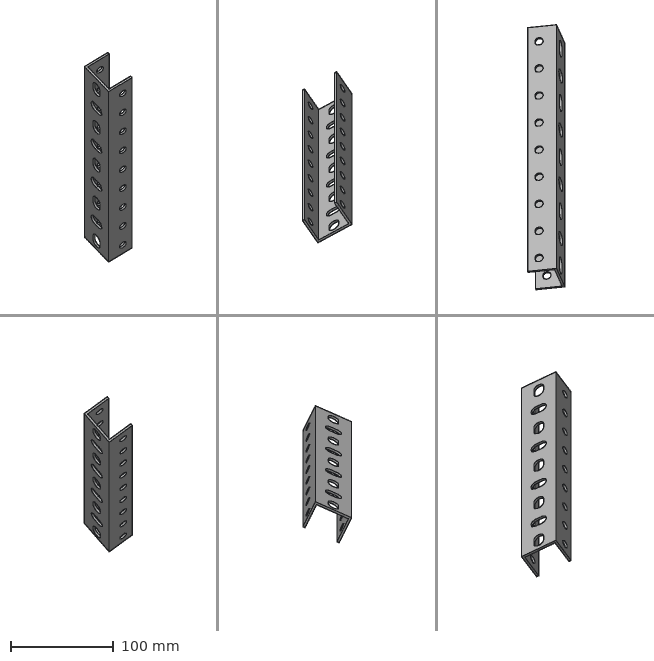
import cadquery as cq

length = 270.0
width = 39.2
depth = 29.0
thickness = 2.5

hole_count = 9
hole_pitch = length / hole_count
end_to_first_hole = 16.5
slot_length = 17.0
slot_width = 11.0
flange_hole_diameter = 8.0
flange_hole_y = 17.5

row_heights = [length - end_to_first_hole - row * hole_pitch for row in range(hole_count)]


def make_channel():
    """U section with its web on the XZ plane and square corners."""
    body = cq.Workplane("XY").box(width, depth, length, centered=(True, False, False))
    cavity = (
        cq.Workplane("XY", origin=(0, thickness, 0))
        .box(width - 2 * thickness, depth - thickness, length, centered=(True, False, False))
    )
    return body.cut(cavity)


def web_slot(height, angle):
    """Cutter for one slot through the web; angle is measured from the X axis."""
    return (
        cq.Workplane("XZ", origin=(0, 0, height))
        .slot2D(slot_length, slot_width, angle)
        .extrude(-thickness)
    )


def flange_holes():
    """One row of round holes passing through both flanges."""
    return (
        cq.Workplane("YZ")
        .pushPoints([(flange_hole_y, height) for height in row_heights])
        .circle(flange_hole_diameter / 2)
        .extrude(width, both=True)
    )


result = make_channel().cut(flange_holes())

for row, row_height in enumerate(row_heights):
    slot_angle = 90 if row % 2 == 0 else 0
    result = result.cut(web_slot(row_height, slot_angle))